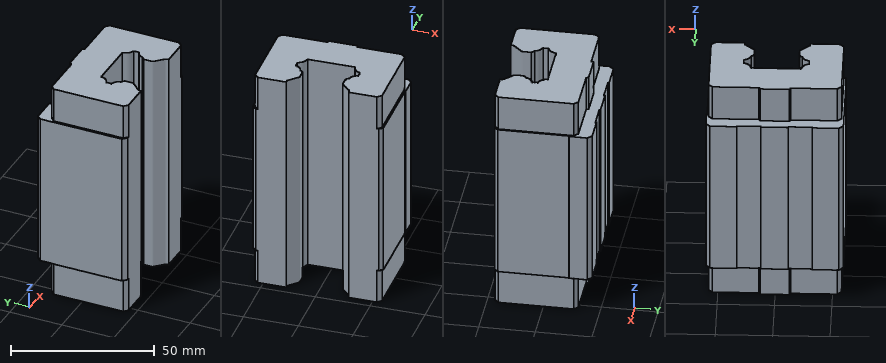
import cadquery as cq


total_length = 84.3
block_length = 58.2
cap_length = (total_length - block_length) / 2

block_width = 48.0
block_height = 34.5
block_chamfer = 1.5

relief_inner_x = 4.7
relief_outer_x = 13.15
relief_depth = 0.4

side_step_depth = 0.25
side_step_top = 26.55

cap_width = 46.4
cap_top = 29.5
cap_chamfer = 1.4

tab_top = 30.35
tab_half_width = 5.1
tab_base_half_width = 5.6

channel_top = 16.5
channel_top_half_width = 8.6
channel_wide_half_width = 11.4
channel_neck_half_width = 7.8
neck_upper_y = 7.9
neck_lower_y = 4.55
mouth_step_y = 1.0
mouth_fillet = 0.85

race_mid_y = 12.4
race_flat_half = 0.9
race_outer = (11.05, 1.2)
race_crest = (9.7, 2.0)
race_inner = (8.9, 3.45)


def chamfered_bar(width, height, length, chamfer):
    """Bar along Z standing on y = 0 and z = 0, with its four long edges chamfered."""
    bar = cq.Workplane("XY").box(width, height, length, centered=(True, False, False))
    return bar.edges("|Z").chamfer(chamfer)


def make_block():
    block = chamfered_bar(block_width, block_height, block_length, block_chamfer)
    relief_width = relief_outer_x - relief_inner_x
    relief_x = (relief_outer_x + relief_inner_x) / 2
    reliefs = (
        cq.Workplane("XY")
        .pushPoints([(-relief_x, block_height), (relief_x, block_height)])
        .rect(relief_width, 2 * relief_depth)
        .extrude(block_length)
    )
    side_step = (
        cq.Workplane("XY")
        .center(block_width / 2, side_step_top / 2)
        .rect(2 * side_step_depth, side_step_top)
        .extrude(block_length)
    )
    return block.cut(reliefs).cut(side_step).translate((0, 0, cap_length))


def make_cap(base_z):
    cap = chamfered_bar(cap_width, cap_top, cap_length, cap_chamfer)
    tab = (
        cq.Workplane("XY")
        .moveTo(-tab_base_half_width, cap_top)
        .lineTo(-tab_half_width, tab_top)
        .lineTo(tab_half_width, tab_top)
        .lineTo(tab_base_half_width, cap_top)
        .close()
        .extrude(cap_length)
    )
    return cap.union(tab).translate((0, 0, base_z))


def race_point(point, side):
    """Place a race point above (side = 1) or below (side = -1) the race middle."""
    x, offset = point
    return x, race_mid_y + side * offset


def make_channel():
    half = (
        cq.Workplane("XY")
        .moveTo(0, channel_top)
        .lineTo(channel_top_half_width, channel_top)
        .lineTo(*race_point(race_inner, 1))
        .threePointArc(race_point(race_crest, 1), race_point(race_outer, 1))
        .lineTo(channel_wide_half_width, race_mid_y + race_flat_half)
        .lineTo(channel_wide_half_width, race_mid_y - race_flat_half)
        .lineTo(*race_point(race_outer, -1))
        .threePointArc(race_point(race_crest, -1), race_point(race_inner, -1))
        .lineTo(channel_neck_half_width, neck_upper_y)
        .lineTo(channel_neck_half_width, neck_lower_y)
        .lineTo(channel_wide_half_width, mouth_step_y)
        .lineTo(channel_wide_half_width, 0)
        .lineTo(0, 0)
        .close()
        .extrude(total_length)
    )
    margin = 0.1
    mouth_corners = cq.selectors.BoxSelector(
        (channel_neck_half_width - margin, mouth_step_y - margin, 0),
        (channel_wide_half_width + margin, neck_lower_y + margin, total_length),
    )
    half = half.edges("|Z").edges(mouth_corners).fillet(mouth_fillet)
    return half.union(half.mirror("YZ"))


carriage = make_block()
for cap_base_z in (0, total_length - cap_length):
    carriage = carriage.union(make_cap(cap_base_z))

result = carriage.cut(make_channel())